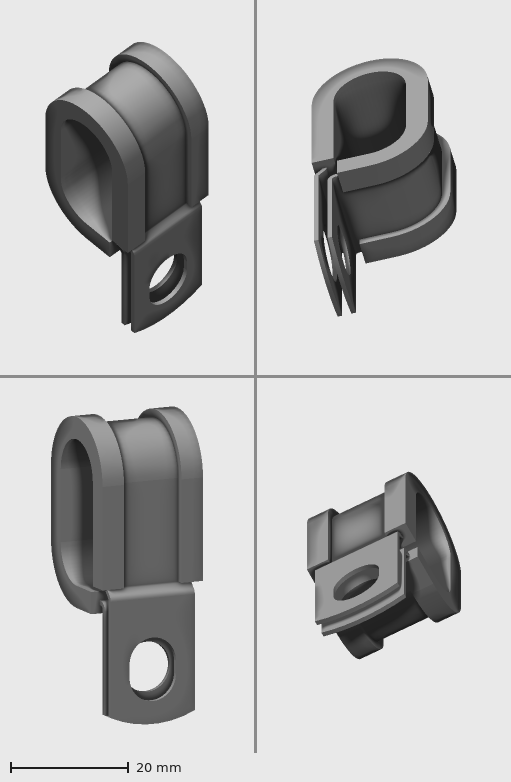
import cadquery as cq
import math

loop_width = 20.45
cushion_depth = 18.9
cushion_thickness = 3.85
total_height = 52.2
straight_height = 12.7
upright_end_z = 24.0
foot_end_x = 5.75

groove_width = 10.8
groove_depth = 1.45
strap_thickness = 0.8
strap_width = 15.8
tab_pitch = 2.4
tab_bend_radius = 1.05
jog_bend_radius = 0.8
jog_angle = math.radians(45)
tab_end_sag = 1.7
hole_diameter = 8.7
slot_length = 11.0
hole_z = 9.5

outer_radius = loop_width / 2
upper_z = total_height - outer_radius
lower_z = upper_z - straight_height
strap_inset = groove_depth + strap_thickness / 2
jog_x = outer_radius - strap_inset
outer_tab_x = outer_radius - strap_thickness / 2
inner_tab_x = outer_tab_x - tab_pitch
foot_strap_z = lower_z - outer_radius + strap_inset


def loop_solid(radius, inner_radius, depth):
    """J-shaped band between two radii, centred on Y = 0."""
    diagonal = math.sqrt(0.5)
    profile = (
        cq.Workplane("XZ")
        .moveTo(radius, upright_end_z)
        .lineTo(radius, upper_z)
        .threePointArc((0, upper_z + radius), (-radius, upper_z))
        .lineTo(-radius, lower_z)
        .threePointArc((-radius * diagonal, lower_z - radius * diagonal), (0, lower_z - radius))
        .lineTo(foot_end_x, lower_z - radius)
        .lineTo(foot_end_x, lower_z - inner_radius)
        .lineTo(0, lower_z - inner_radius)
        .threePointArc(
            (-inner_radius * diagonal, lower_z - inner_radius * diagonal), (-inner_radius, lower_z)
        )
        .lineTo(-inner_radius, upper_z)
        .threePointArc((0, upper_z + inner_radius), (inner_radius, upper_z))
        .lineTo(inner_radius, upright_end_z)
        .close()
    )
    return profile.extrude(depth / 2, both=True)


def cushion():
    body = loop_solid(outer_radius, outer_radius - cushion_thickness, cushion_depth)
    groove = loop_solid(outer_radius, outer_radius - groove_depth, groove_width)
    return body.cut(groove)


def bend(center_x, center_z, start_angle, end_angle, radius):
    """Curved piece of strap, with angles measured from +X towards +Z."""
    def rim_point(rim_radius, angle):
        return center_x + rim_radius * math.cos(angle), center_z + rim_radius * math.sin(angle)

    outer = radius + strap_thickness / 2
    inner = radius - strap_thickness / 2
    middle = (start_angle + end_angle) / 2
    profile = (
        cq.Workplane("XZ")
        .moveTo(*rim_point(outer, start_angle))
        .threePointArc(rim_point(outer, middle), rim_point(outer, end_angle))
        .lineTo(*rim_point(inner, end_angle))
        .threePointArc(rim_point(inner, middle), rim_point(inner, start_angle))
        .close()
    )
    return profile.extrude(strap_width / 2, both=True)


def flat(start, end):
    """Straight piece of strap between two points of its middle line (X, Z)."""
    run_x = end[0] - start[0]
    run_z = end[1] - start[1]
    length = math.hypot(run_x, run_z)
    side_x = -run_z / length * strap_thickness / 2
    side_z = run_x / length * strap_thickness / 2
    corners = [
        (start[0] + side_x, start[1] + side_z),
        (end[0] + side_x, end[1] + side_z),
        (end[0] - side_x, end[1] - side_z),
        (start[0] - side_x, start[1] - side_z),
    ]
    return cq.Workplane("XZ").polyline(corners).close().extrude(strap_width / 2, both=True)


def inner_tab():
    """Tab that turns down from the end of the bottom leg."""
    bend_x = inner_tab_x - tab_bend_radius
    bend_z = foot_strap_z - tab_bend_radius
    lead = flat((foot_end_x, foot_strap_z), (bend_x, foot_strap_z))
    turn = bend(bend_x, bend_z, 0, math.pi / 2, tab_bend_radius)
    return lead.union(turn).union(flat((inner_tab_x, 0), (inner_tab_x, bend_z)))


def outer_tab():
    """Tab that jogs outwards below the end of the right-hand leg."""
    bend_x = jog_bend_radius * (1 - math.cos(jog_angle))
    bend_z = jog_bend_radius * math.sin(jog_angle)
    slope_start = (jog_x + bend_x, upright_end_z - bend_z)
    slope_run = outer_tab_x - jog_x - 2 * bend_x
    slope_end = (slope_start[0] + slope_run, slope_start[1] - slope_run / math.tan(jog_angle))
    tab_top_z = slope_end[1] - bend_z
    upper_turn = bend(
        jog_x + jog_bend_radius, upright_end_z, math.pi, math.pi + jog_angle, jog_bend_radius
    )
    lower_turn = bend(outer_tab_x - jog_bend_radius, tab_top_z, 0, jog_angle, jog_bend_radius)
    slope = flat(slope_start, slope_end)
    tab = flat((outer_tab_x, 0), (outer_tab_x, tab_top_z))
    return upper_turn.union(slope).union(lower_turn).union(tab)


def tab_outline(opening):
    """Block with a tab's rounded lower end and bolt opening, along X."""
    outline = (
        cq.Workplane("YZ")
        .moveTo(-strap_width / 2, total_height)
        .lineTo(-strap_width / 2, tab_end_sag)
        .threePointArc((0, 0), (strap_width / 2, tab_end_sag))
        .lineTo(strap_width / 2, total_height)
        .close()
        .extrude(loop_width)
    )
    return outline.cut(opening)


round_hole = cq.Workplane("YZ").center(0, hole_z).circle(hole_diameter / 2).extrude(loop_width)
slot = cq.Workplane("YZ").center(0, hole_z).slot2D(slot_length, hole_diameter, 90).extrude(loop_width)
inner_mount = inner_tab().intersect(tab_outline(round_hole))
outer_mount = outer_tab().intersect(tab_outline(slot))
result = cushion().union(inner_mount).union(outer_mount)